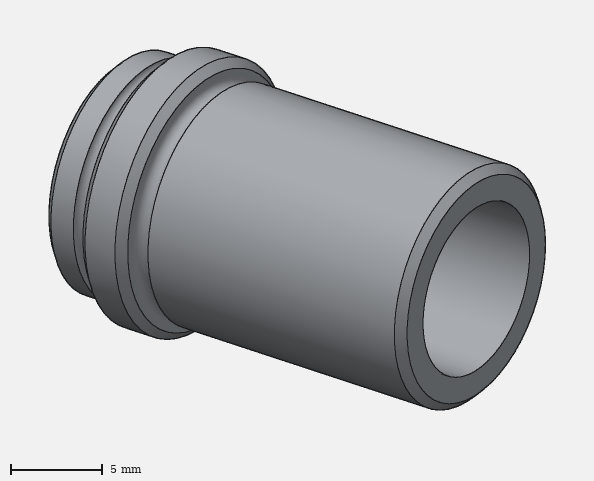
import cadquery as cq

length = 24.0
body_diameter = 14.0
collar_diameter = 16.0
bore_diameter = 10.0

collar_start = 3.0
collar_width = 3.0
outer_chamfer = 0.5
bore_chamfer = 0.2
groove_radius = 0.5

body_radius = body_diameter / 2
collar_end = collar_start + collar_width


def cylinder_along_x(start, size, diameter):
    """Solid cylinder on the X axis, starting at the given X."""
    return cq.Workplane("YZ", origin=(start, 0, 0)).circle(diameter / 2).extrude(size)


def chamfered_cylinder(start, size, diameter):
    """Cylinder on the X axis with both end rims chamfered."""
    return cylinder_along_x(start, size, diameter).edges("%CIRCLE").chamfer(outer_chamfer)


def round_groove(center):
    """Ring of circular section, centred on the body surface."""
    section = cq.Workplane("XY").center(center, body_radius).circle(groove_radius)
    return section.revolve(360, (0, -body_radius, 0), (1, -body_radius, 0))


body = chamfered_cylinder(0, length, body_diameter)

for groove_center in (collar_start - groove_radius, collar_end + groove_radius):
    body = body.cut(round_groove(groove_center))

body = body.union(chamfered_cylinder(collar_start, collar_width, collar_diameter))

body = body.cut(cylinder_along_x(0, length, bore_diameter))
bore_mouth = cq.selectors.RadiusNthSelector(0)
result = body.faces("<X").edges(bore_mouth).chamfer(bore_chamfer)